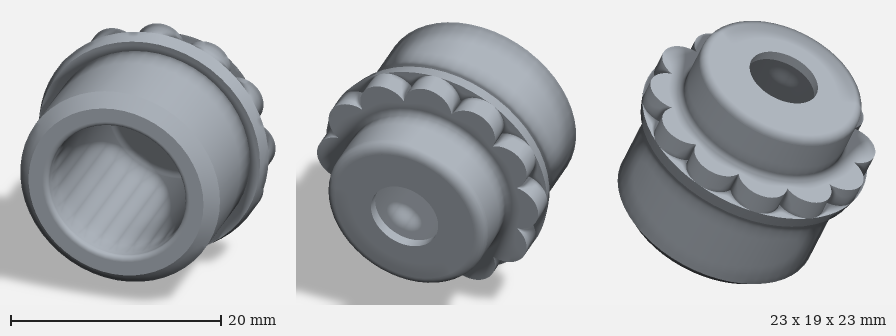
import cadquery as cq
import math

overall_length = 19.0
overall_radius = 11.5

sleeve_radius = 10.0
sleeve_chamfer = 1.25
boss_radius = 8.25
boss_end_fillet = 1.0
boss_root_fillet = 0.5

bore_mouth_radius = 6.85
bore_floor_radius = 6.75
bore_edge_fillet = 0.5
floor_thickness = 1.0
floor_hole_radius = 3.5

ring_front_distance = 10.03
collar_length = 1.43
collar_angle = 15.0
lobe_count = 12
lobe_radius = 2.5
lobe_length = 2.12

collar_slope = math.tan(math.radians(collar_angle))
collar_front_radius = overall_radius - collar_length * collar_slope
collar_undercut = (collar_front_radius - sleeve_radius) * collar_slope
lobe_circle_radius = overall_radius - lobe_radius
seat_radius = boss_radius + boss_root_fillet

front_y = -overall_length / 2
back_y = overall_length / 2
collar_y = front_y + ring_front_distance
shoulder_y = collar_y + collar_undercut
lobes_y = collar_y + collar_length
boss_y = lobes_y + lobe_length
floor_y = back_y - floor_thickness

arc_inset = 1 - math.sin(math.radians(45))


def revolve_about_y(profile):
    """Turn a (radius, y) profile, once closed, fully around the Y axis."""
    return profile.close().revolve(360, (0, 0, 0), (0, 1, 0))


def cylinder_along_y(radius, start_y, end_y):
    """Plain cylinder centred on the Y axis."""
    return cq.Workplane("XZ", origin=(0, start_y, 0)).circle(radius).extrude(start_y - end_y)


def make_bore():
    """Tapered blind bore with a flared mouth and a rounded floor corner."""
    fillet = bore_edge_fillet
    inset = fillet * arc_inset
    profile = (
        cq.Workplane("XY")
        .moveTo(0, front_y)
        .lineTo(bore_mouth_radius + fillet, front_y)
        .threePointArc(
            (bore_mouth_radius + inset, front_y + inset),
            (bore_mouth_radius, front_y + fillet),
        )
        .lineTo(bore_floor_radius, floor_y - fillet)
        .threePointArc(
            (bore_floor_radius - inset, floor_y - inset),
            (bore_floor_radius - fillet, floor_y),
        )
        .lineTo(0, floor_y)
    )
    return revolve_about_y(profile)


def make_cup():
    """Chamfered sleeve, ring seat and round-ended boss in one piece, hollowed from the front."""
    root_inset = boss_root_fillet * arc_inset
    end_inset = boss_end_fillet * arc_inset
    profile = (
        cq.Workplane("XY")
        .moveTo(0, front_y)
        .lineTo(sleeve_radius - sleeve_chamfer, front_y)
        .lineTo(sleeve_radius, front_y + sleeve_chamfer)
        .lineTo(sleeve_radius, shoulder_y)
        .lineTo(seat_radius, shoulder_y)
        .lineTo(seat_radius, boss_y)
        .threePointArc(
            (boss_radius + root_inset, boss_y + root_inset),
            (boss_radius, boss_y + boss_root_fillet),
        )
        .lineTo(boss_radius, back_y - boss_end_fillet)
        .threePointArc(
            (boss_radius - end_inset, back_y - end_inset),
            (boss_radius - boss_end_fillet, back_y),
        )
        .lineTo(0, back_y)
    )
    floor_hole = cylinder_along_y(floor_hole_radius, front_y, back_y)
    return revolve_about_y(profile).cut(make_bore()).cut(floor_hole)


def make_collar():
    """Conical collar whose front face is undercut square to its flank."""
    profile = (
        cq.Workplane("XY")
        .moveTo(0, shoulder_y)
        .lineTo(sleeve_radius, shoulder_y)
        .lineTo(collar_front_radius, collar_y)
        .lineTo(overall_radius, lobes_y)
        .lineTo(0, lobes_y)
    )
    return revolve_about_y(profile)


def make_grip_ring():
    """Collar backed by a ring of overlapping round lobes, bored to fit the cup's seat."""
    ring = make_collar()
    lobe = cylinder_along_y(lobe_radius, lobes_y, boss_y).translate((lobe_circle_radius, 0, 0))
    for index in range(lobe_count):
        ring = ring.union(lobe.rotate((0, 0, 0), (0, 1, 0), index * 360 / lobe_count))
    return ring.cut(cylinder_along_y(seat_radius, shoulder_y, boss_y))


cup = make_cup()
grip_ring = make_grip_ring()

result = cq.Compound.makeCompound([cup.solids().val(), grip_ring.solids().val()])